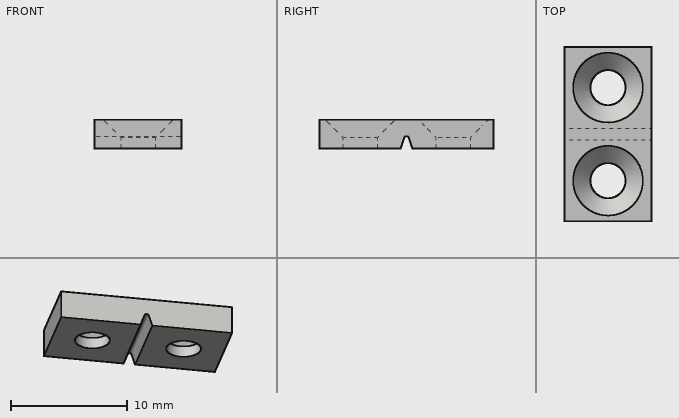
import cadquery as cq

WIDTH = 7.5
LENGTH = 15.0
THICKNESS = 2.5

HOLE_SPACING = 8.0
HOLE_DIAMETER = 3.0
SINK_DIAMETER = 6.0
SINK_ANGLE = 90.0

GROOVE_WIDTH = 1.0
GROOVE_APEX_HEIGHT = 1.5
GROOVE_TIP_RADIUS = 0.2


def make_block():
    return cq.Workplane("XY").box(WIDTH, LENGTH, THICKNESS, centered=(True, True, False))


def cut_screw_holes(body):
    half_spacing = HOLE_SPACING / 2
    return (
        body.faces(">Z")
        .workplane()
        .pushPoints([(0, -half_spacing), (0, half_spacing)])
        .cskHole(HOLE_DIAMETER, SINK_DIAMETER, SINK_ANGLE)
    )


def make_groove():
    """Triangular bar along X with its top edge rounded."""
    half_width = GROOVE_WIDTH / 2
    return (
        cq.Workplane("YZ")
        .polyline([(-half_width, 0), (0, GROOVE_APEX_HEIGHT), (half_width, 0)])
        .close()
        .extrude(WIDTH / 2, both=True)
        .edges("|X and >Z")
        .fillet(GROOVE_TIP_RADIUS)
    )


result = cut_screw_holes(make_block()).cut(make_groove())